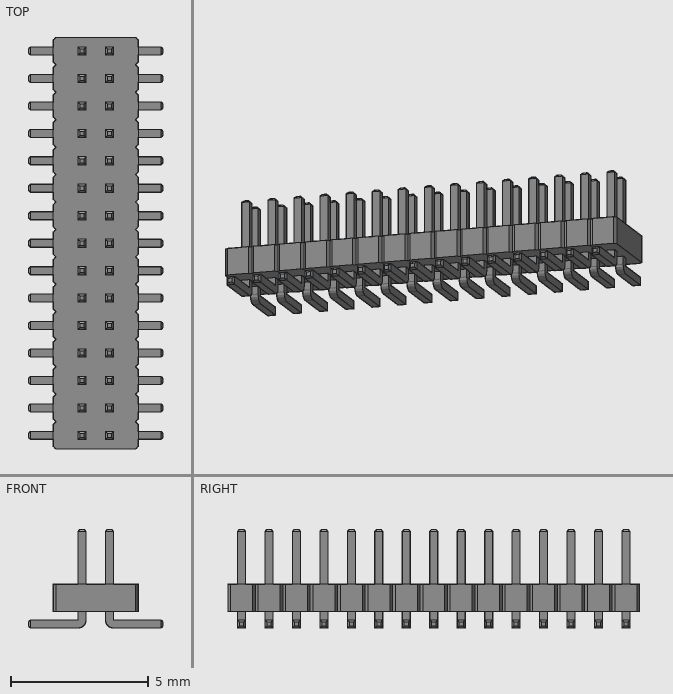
import cadquery as cq

contacts_per_row = 15
length = 15.0
pitch = length / contacts_per_row
housing_width = 3.1
housing_height = pitch
housing_bottom = 0.6
notch_depth = 0.1

pin_size = 0.3
foot_span = 4.9
total_height = 3.6
tip_length = 0.08
tip_inset = 0.08
bend_radius = pin_size


def make_housing():
    """Row of square cells with cut corners; neighbouring cuts form the V-notches."""
    cell = (
        cq.Workplane("XY")
        .box(housing_width, pitch, housing_height, centered=(True, True, False))
        .edges("|Z")
        .chamfer(notch_depth)
    )
    housing = cq.Workplane("XY").box(
        housing_width - 2 * notch_depth, length, housing_height, centered=(True, True, False)
    )
    for y in contact_positions():
        housing = housing.union(cell.translate((0, y, 0)))
    return housing.translate((0, 0, housing_bottom))


def contact_positions():
    """Y centres of the contacts, symmetric about the origin."""
    first = -(contacts_per_row - 1) * pitch / 2
    return [first + i * pitch for i in range(contacts_per_row)]


def make_contact():
    """L-shaped contact of the +X row, centred on Y = 0, with tapered ends."""
    inner_x = (pitch - pin_size) / 2
    outer_x = inner_x + pin_size
    foot_end = foot_span / 2
    contact = (
        cq.Workplane("XZ")
        .moveTo(inner_x, total_height)
        .lineTo(inner_x, bend_radius)
        .radiusArc((inner_x + bend_radius, 0), -bend_radius)
        .lineTo(foot_end, 0)
        .lineTo(foot_end, pin_size)
        .lineTo(outer_x, pin_size)
        .lineTo(outer_x, total_height)
        .close()
        .extrude(pin_size / 2, both=True)
    )
    contact = contact.faces(">Z").chamfer(tip_length, tip_inset)
    return contact.faces(">X").chamfer(tip_length, tip_inset)


result = make_housing()
right_contact = make_contact()
left_contact = right_contact.mirror("YZ")
for y in contact_positions():
    for contact in (right_contact, left_contact):
        result = result.union(contact.translate((0, y, 0)))